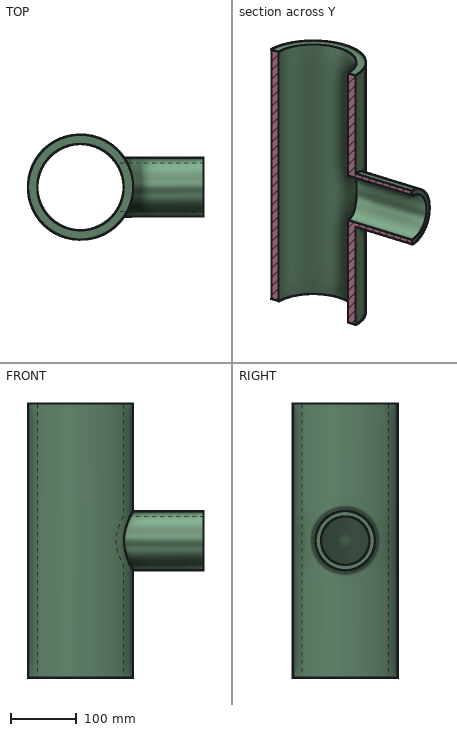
import cadquery as cq

main_diameter = 160.0
main_wall = 14.6
main_length = 417.0

branch_diameter = 90.0
branch_wall = 8.2
branch_reach = 187.0

main_bore = main_diameter - 2 * main_wall
branch_bore = branch_diameter - 2 * branch_wall


def main_cylinder(diameter):
    """Full-length cylinder on the main pipe axis."""
    return cq.Workplane("XY").circle(diameter / 2).extrude(main_length / 2, both=True)


def branch_cylinder(diameter):
    """Cylinder from the main pipe axis to the branch end face."""
    return cq.Workplane("YZ").circle(diameter / 2).extrude(branch_reach)


tee_body = main_cylinder(main_diameter).union(branch_cylinder(branch_diameter))

result = tee_body.cut(main_cylinder(main_bore)).cut(branch_cylinder(branch_bore))